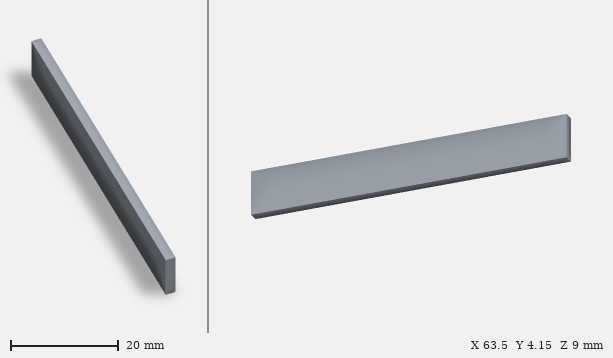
import cadquery as cq

length = 63.46
thickness = 2.0
height = 9.0
turn_angle = -1.943

result = (
    cq.Workplane("XY")
    .box(length, thickness, height)
    .rotate((0, 0, 0), (0, 0, 1), turn_angle)
)